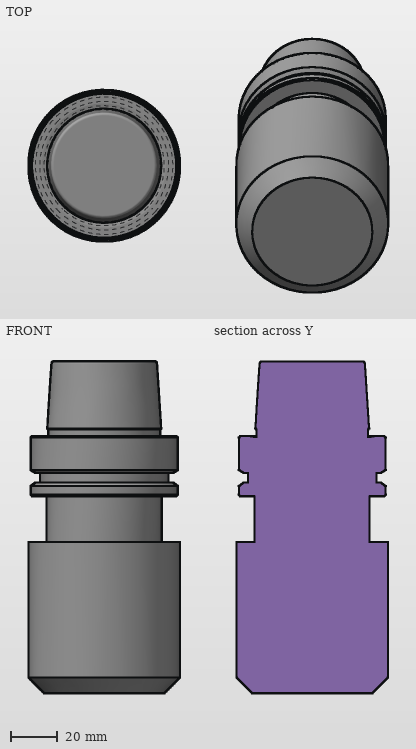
import cadquery as cq

total_height = 141.9
nut_top = 64.7
flange_bottom = 84.1
groove_bottom = 90.1
groove_top = 94.1
flange_top = 110.0
taper_bottom = 112.7

nut_radius = 32.5
neck_radius = 24.7
flange_radius = 31.5
groove_radius = 27.5
groove_lip_radius = 29.4
recess_radius = 26.5
relief_radius = 24.0
taper_bottom_radius = 24.4
taper_top_radius = 22.5

nut_chamfer = 6.8
flange_chamfer = 0.7
groove_upper_lip = 1.3
groove_lower_lip = 1.5
recess_depth = 0.4
taper_edge_height = 0.5
tip_fillet = 1.3


def revolve_profile(points):
    """Revolve a closed (radius, height) outline around the Z axis."""
    return cq.Workplane("XZ").polyline(points).close().revolve(360, (0, 0, 0), (0, 1, 0))


nut = cq.Workplane("XY").circle(nut_radius).extrude(nut_top).faces("<Z").chamfer(nut_chamfer)
neck = cq.Workplane("XY").circle(neck_radius).extrude(flange_bottom)

flange = revolve_profile([
    (0, flange_bottom),
    (flange_radius - flange_chamfer, flange_bottom),
    (flange_radius, flange_bottom + flange_chamfer),
    (flange_radius, groove_bottom - groove_lower_lip),
    (groove_lip_radius, groove_bottom),
    (groove_radius, groove_bottom),
    (groove_radius, groove_top),
    (groove_lip_radius, groove_top),
    (flange_radius, groove_top + groove_upper_lip),
    (flange_radius, flange_top - flange_chamfer),
    (flange_radius - flange_chamfer, flange_top),
    (recess_radius, flange_top),
    (relief_radius, flange_top - recess_depth),
    (0, flange_top - recess_depth),
])

shank = revolve_profile([
    (0, flange_top - recess_depth),
    (relief_radius, flange_top - recess_depth),
    (relief_radius, taper_bottom),
    (taper_bottom_radius, taper_bottom + taper_edge_height),
    (taper_top_radius, total_height),
    (0, total_height),
]).faces(">Z").edges().fillet(tip_fillet)

result = nut.union(neck).union(flange).union(shank)